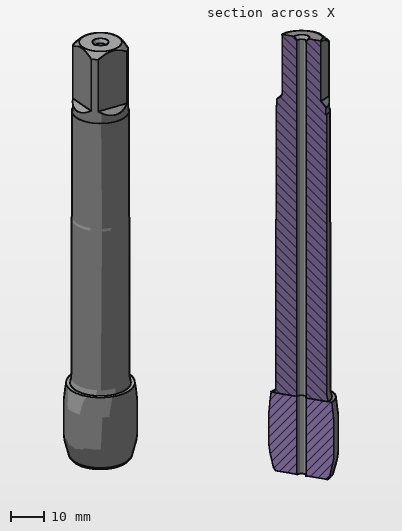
import cadquery as cq
import math

total_height = 140.0
tip_chamfer_height = 1.0
barrel_start = 7.8
barrel_end = 18.8
head_height = 25.0
collar_top = 26.7
step_start = 80.4
step_end = 81.2
drive_start = 116.8

tip_diameter = 17.6
tip_chamfer_diameter = 19.3
barrel_diameter = 22.4
head_top_diameter = 20.9
collar_diameter = 18.5
neck_diameter = 17.6
shank_diameter = 17.4
drive_diameter = 17.0
drive_fillet = (shank_diameter - drive_diameter) / 2
bore_diameter = 3.0
countersink_diameter = 4.9
countersink_depth = 1.1

square_width = 13.5
square_foot = 120.7
drive_top_diameter = 12.9
drive_top_chamfer = 1.8

arc_mid_inset = 1 - math.sqrt(0.5)

lower_flank_height = (tip_chamfer_height + barrel_start) / 2
lower_flank_diameter = 21.3
upper_flank_height = (barrel_end + head_height) / 2
upper_flank_diameter = 21.8


def make_bore():
    """Coolant bore through both bodies."""
    return cq.Workplane("XY").circle(bore_diameter / 2).extrude(total_height)


def make_countersink():
    """Conical mouth of the bore at the top of the drive."""
    return cq.Workplane("XY").add(
        cq.Solid.makeCone(
            bore_diameter / 2,
            countersink_diameter / 2,
            countersink_depth,
            pnt=cq.Vector(0, 0, total_height - countersink_depth),
        )
    )


def make_flat_cutter():
    """Material outside the +X flat, with a 45 degree ramp at its foot."""
    inner = square_width / 2
    outer = barrel_diameter / 2
    return (
        cq.Workplane("XZ")
        .moveTo(inner, total_height)
        .lineTo(inner, square_foot)
        .lineTo(outer, square_foot - (outer - inner))
        .lineTo(outer, total_height)
        .close()
        .extrude(barrel_diameter / 2, both=True)
    )


def make_cutting_head():
    """Barrel-shaped head, butting against the shank on a flat face."""
    head = (
        cq.Workplane("XZ")
        .lineTo(tip_diameter / 2, 0)
        .lineTo(tip_chamfer_diameter / 2, tip_chamfer_height)
        .threePointArc(
            (lower_flank_diameter / 2, lower_flank_height),
            (barrel_diameter / 2, barrel_start),
        )
        .lineTo(barrel_diameter / 2, barrel_end)
        .threePointArc(
            (upper_flank_diameter / 2, upper_flank_height),
            (head_top_diameter / 2, head_height),
        )
        .lineTo(0, head_height)
        .close()
        .revolve(360, (0, 0), (0, 1))
    )
    return head.cut(make_bore())


def make_shank():
    """Stepped shank with a tapered collar at its foot and a square drive on top."""
    shank = (
        cq.Workplane("XZ")
        .moveTo(0, head_height)
        .lineTo(collar_diameter / 2, head_height)
        .lineTo(neck_diameter / 2, collar_top)
        .lineTo(neck_diameter / 2, step_start)
        .lineTo(shank_diameter / 2, step_end)
        .lineTo(shank_diameter / 2, drive_start)
        .threePointArc(
            (drive_diameter / 2 + drive_fillet * arc_mid_inset, drive_start + drive_fillet * arc_mid_inset),
            (drive_diameter / 2, drive_start + drive_fillet),
        )
        .lineTo(drive_diameter / 2, total_height - drive_top_chamfer)
        .lineTo(drive_top_diameter / 2, total_height)
        .lineTo(0, total_height)
        .close()
        .revolve(360, (0, 0), (0, 1))
    )
    flat_cutter = make_flat_cutter()
    for angle in (0, 90, 180, 270):
        shank = shank.cut(flat_cutter.rotate((0, 0, 0), (0, 0, 1), angle))
    return shank.cut(make_bore()).cut(make_countersink())


cutting_head = make_cutting_head()
shank = make_shank()

result = cq.Compound.makeCompound([cutting_head.val(), shank.val()])